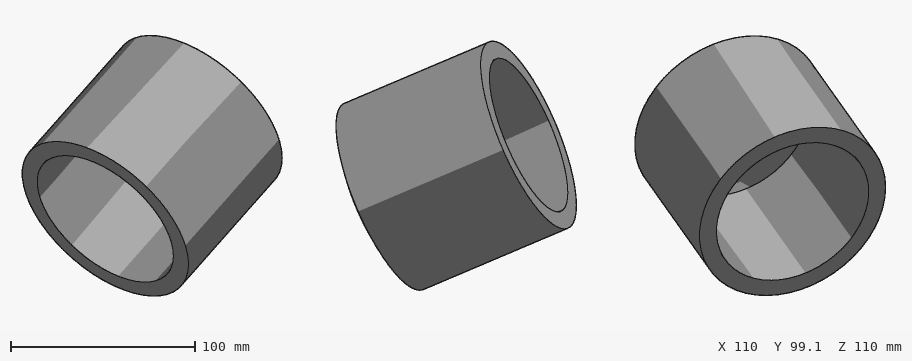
import cadquery as cq

outer_radius = 55.0
wall = 10.0
skirt_length = 89.2
dome_height = 9.9

inner_radius = outer_radius - wall
overall_length = skirt_length + dome_height
outer_dome_radius = (outer_radius**2 + dome_height**2) / (2 * dome_height)
inner_dome_radius = outer_dome_radius - wall
dome_centre_y = overall_length - outer_dome_radius


def domed_plug(radius, dome_radius):
    """Solid cylinder along +Y from the open end, closed by a spherical dome."""
    edge_y = dome_centre_y + (dome_radius**2 - radius**2) ** 0.5
    crown_y = dome_centre_y + dome_radius
    mid_radius = radius / 2
    mid_y = dome_centre_y + (dome_radius**2 - mid_radius**2) ** 0.5
    return (
        cq.Workplane("XY")
        .lineTo(radius, 0)
        .lineTo(radius, edge_y)
        .threePointArc((mid_radius, mid_y), (0, crown_y))
        .close()
        .revolve(360, (0, 0, 0), (0, 1, 0))
    )


outer_body = domed_plug(outer_radius, outer_dome_radius)
cavity = domed_plug(inner_radius, inner_dome_radius)
result = outer_body.cut(cavity)